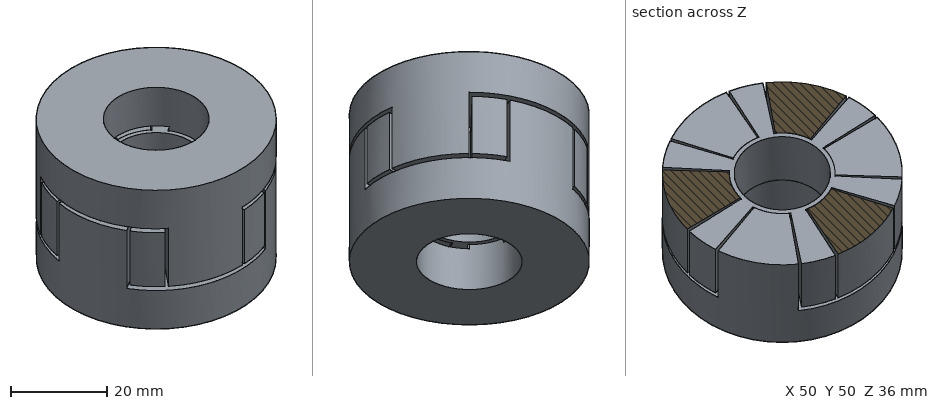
import cadquery as cq
import math

OUTER_RADIUS = 25.0
HUB_BORE_RADIUS = 11.0
HUB_THICKNESS = 10.0
TOTAL_HEIGHT = 36.0
END_GAP = 1.0
JAW_COUNT = 3
JAW_ANGLE = 40.0
LOWER_JAW_ANGLE = 30.0

SPIDER_BORE_RADIUS = 10.0
SPIDER_RING_RADIUS = HUB_BORE_RADIUS
LEG_ANGLE = 17.0

CUTTER_RADIUS = OUTER_RADIUS + 2.5

LEG_COUNT = 2 * JAW_COUNT
JAW_PITCH = 360.0 / JAW_COUNT
LEG_PITCH = 360.0 / LEG_COUNT
JAW_HEIGHT = TOTAL_HEIGHT - 2 * HUB_THICKNESS - END_GAP
SPIDER_BOTTOM = HUB_THICKNESS + END_GAP
SPIDER_HEIGHT = TOTAL_HEIGHT - 2 * SPIDER_BOTTOM


def polar(radius, angle):
    """Point at a radius and an angle in degrees from +X."""
    radians = math.radians(angle)
    return radius * math.cos(radians), radius * math.sin(radians)


def ring(outer_radius, inner_radius, bottom, height):
    """Flat ring around the Z axis."""
    plane = cq.Workplane("XY").workplane(offset=bottom)
    return plane.circle(outer_radius).circle(inner_radius).extrude(height)


def spaces(count, first_angle, span, inner_radius, bottom, height):
    """Equally spaced wedge cutters running from the inner radius to past the outer surface."""
    cutters = cq.Workplane("XY")
    for index in range(count):
        center_angle = first_angle + index * 360.0 / count
        start = center_angle - span / 2
        end = center_angle + span / 2
        wedge = (
            cq.Workplane("XY")
            .workplane(offset=bottom)
            .moveTo(*polar(inner_radius, start))
            .lineTo(*polar(CUTTER_RADIUS, start))
            .threePointArc(polar(CUTTER_RADIUS, center_angle), polar(CUTTER_RADIUS, end))
            .lineTo(*polar(inner_radius, end))
            .threePointArc(polar(inner_radius, center_angle), polar(inner_radius, start))
            .close()
            .extrude(height)
        )
        cutters = cutters.add(wedge)
    return cutters.combine()


def make_hub(bottom, jaw_bottom, first_jaw_angle):
    """Thick tube with the spaces between its jaws cut away."""
    hub = ring(OUTER_RADIUS, HUB_BORE_RADIUS, bottom, HUB_THICKNESS + JAW_HEIGHT)
    first_space = first_jaw_angle + JAW_PITCH / 2
    space_angle = JAW_PITCH - JAW_ANGLE
    jaw_spaces = spaces(JAW_COUNT, first_space, space_angle, SPIDER_BORE_RADIUS, jaw_bottom, JAW_HEIGHT)
    return hub.cut(jaw_spaces)


def make_spider():
    """Central ring with one leg in each gap between neighbouring jaws."""
    blank = ring(OUTER_RADIUS, SPIDER_BORE_RADIUS, SPIDER_BOTTOM, SPIDER_HEIGHT)
    space_angle = LEG_PITCH - LEG_ANGLE
    leg_spaces = spaces(
        LEG_COUNT, LEG_PITCH / 2, space_angle, SPIDER_RING_RADIUS, SPIDER_BOTTOM, SPIDER_HEIGHT
    )
    return blank.cut(leg_spaces)


lower_hub = make_hub(0.0, HUB_THICKNESS, LOWER_JAW_ANGLE)
upper_hub = make_hub(SPIDER_BOTTOM, SPIDER_BOTTOM, LOWER_JAW_ANGLE + JAW_PITCH / 2)
spider = make_spider()

result = cq.Compound.makeCompound(
    [lower_hub.solids().val(), upper_hub.solids().val(), spider.solids().val()]
)